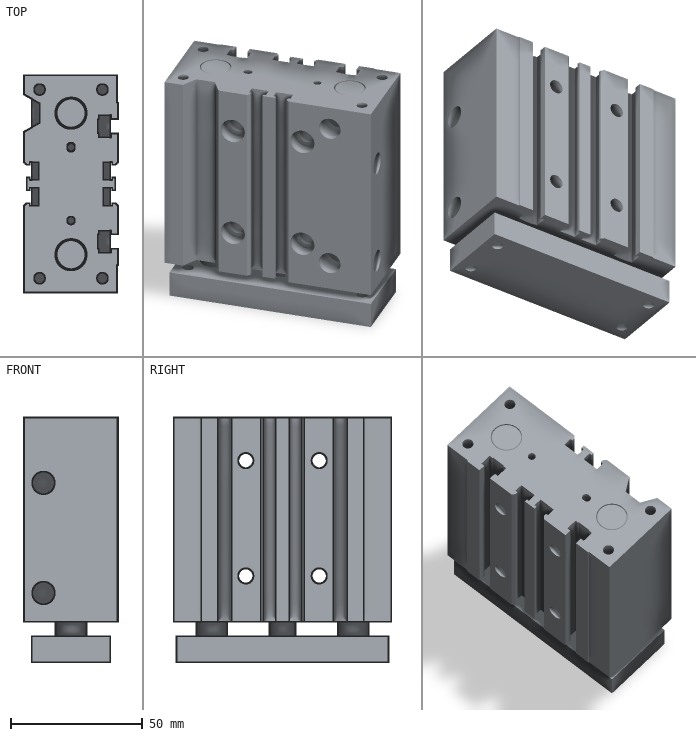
import cadquery as cq
import math


housing_width = 36.0
housing_length = 83.0
housing_height = 78.0
pad_length = 62.0
pad_step = 0.4
half_width = housing_width / 2

plate_width = 30.0
plate_length = 81.0
plate_thickness = 10.0
plate_gap = 5.5
plate_hole_diameter = 4.2
plate_hole_spacing_x = 18.0
plate_hole_spacing_y = 70.0

guide_rod_diameter = 12.0
guide_rod_offset = 27.0
guide_rod_chamfer = 0.5
piston_rod_diameter = 10.0
piston_rod_insertion = housing_height / 2

groove_floor_width = 7.4
groove_depth = 6.0
groove_side_angle = 30.0

sensor_slot_offset = 4.9
sensor_mouth_width = 4.8
sensor_slot_width = 6.8
sensor_lip_depth = 2.3
sensor_slot_depth = 5.7
recess_depth = 1.1
recess_mouth_length = 2 * sensor_slot_offset + sensor_slot_width
recess_floor_length = 2 * sensor_slot_offset + sensor_mouth_width

t_slot_offset = 22.0
t_slot_mouth_width = 5.4
t_slot_head_width = 8.4
t_slot_lip_depth = 2.8
t_slot_head_depth = 7.5
t_slot_relief_depth = 7.8

mount_hole_diameter = 5.7
mount_bore_diameter = 9.6
mount_bore_depth = 5.5
mount_hole_offset = 14.0
mount_hole_heights = (17.5, 61.5)

port_diameter = 8.6
port_depth = 10.0
side_port_y = -25.0
side_port_heights = (11.0, 69.0)
end_port_x = -10.5
end_port_heights = (11.0, 53.0)

corner_hole_diameter = 4.2
corner_hole_depth = 15.0
corner_hole_spacing_x = 24.0
corner_hole_spacing_y = 72.0
pin_hole_diameter = 3.0
pin_hole_depth = 6.0
pin_hole_offset = 14.0
pin_slot_length = 3.5
pin_slot_depth = 3.0


def channel(x_start, x_end, y_center, y_width):
    """Rectangular prism running the full height of the housing."""
    return cq.Workplane("XY").box(
        abs(x_end - x_start), y_width, housing_height, centered=(True, True, False)
    ).translate(((x_start + x_end) / 2, y_center, 0))


def tapered_channel(side, y_center, mouth_width, floor_width, depth):
    """Full-height channel in the side face (-1 or +1) that narrows from mouth to floor."""
    face_x = side * half_width
    floor_x = side * (half_width - depth)
    return (
        cq.Workplane("XY")
        .polyline([
            (face_x, y_center - mouth_width / 2),
            (face_x, y_center + mouth_width / 2),
            (floor_x, y_center + floor_width / 2),
            (floor_x, y_center - floor_width / 2),
        ])
        .close()
        .extrude(housing_height)
    )


def cylinder(diameter, length, start, direction):
    """Solid cylinder from a start point along a direction."""
    return cq.Workplane(
        cq.Solid.makeCylinder(diameter / 2, length, cq.Vector(*start), cq.Vector(*direction))
    )


def sensor_slot(side, y_center):
    """Lipped sensor slot in the side face (-1 or +1)."""
    lip_x = side * (half_width - sensor_lip_depth)
    floor_x = side * (half_width - sensor_slot_depth)
    mouth = channel(side * half_width, lip_x, y_center, sensor_mouth_width)
    return mouth.union(channel(lip_x, floor_x, y_center, sensor_slot_width))


def t_slot(y_center):
    """T-slot in the +X face with a relief in its floor."""
    lip_x = half_width - t_slot_lip_depth
    head_x = half_width - t_slot_head_depth
    relief_x = half_width - t_slot_relief_depth
    stem = channel(half_width, relief_x, y_center, t_slot_mouth_width)
    return stem.union(channel(lip_x, head_x, y_center, t_slot_head_width))


def make_housing():
    body_width = housing_width - pad_step
    body = channel(-half_width, body_width - half_width, 0, housing_length)
    body = body.union(channel(0, half_width, 0, pad_length))

    groove_spread = groove_depth * math.tan(math.radians(groove_side_angle))
    groove_mouth_width = groove_floor_width + 2 * groove_spread
    body = body.cut(tapered_channel(
        -1, guide_rod_offset, groove_mouth_width, groove_floor_width, groove_depth
    ))

    for side in (-1, 1):
        body = body.cut(tapered_channel(
            side, 0, recess_mouth_length, recess_floor_length, recess_depth
        ))
        for y in (-sensor_slot_offset, sensor_slot_offset):
            body = body.cut(sensor_slot(side, y))

    for y in (-t_slot_offset, t_slot_offset):
        body = body.cut(t_slot(y))

    for y in (-mount_hole_offset, mount_hole_offset):
        for z in mount_hole_heights:
            start = (-half_width, y, z)
            body = body.cut(cylinder(mount_hole_diameter, housing_width, start, (1, 0, 0)))
            body = body.cut(cylinder(mount_bore_diameter, mount_bore_depth, start, (1, 0, 0)))

    for z in side_port_heights:
        body = body.cut(cylinder(port_diameter, port_depth, (-half_width, side_port_y, z), (1, 0, 0)))
    for z in end_port_heights:
        start = (end_port_x, -housing_length / 2, z)
        body = body.cut(cylinder(port_diameter, port_depth, start, (0, 1, 0)))

    top = cq.Workplane("XY").workplane(offset=housing_height)
    corner_holes = (
        top.rarray(corner_hole_spacing_x, corner_hole_spacing_y, 2, 2)
        .circle(corner_hole_diameter / 2)
        .extrude(-corner_hole_depth)
    )
    pin_holes = (
        top.rarray(1, 2 * pin_hole_offset, 1, 2)
        .circle(pin_hole_diameter / 2)
        .extrude(-pin_hole_depth)
    )
    pin_slot = (
        top.center(0, pin_hole_offset)
        .slot2D(pin_slot_length, pin_hole_diameter, 90)
        .extrude(-pin_slot_depth)
    )
    body = body.cut(corner_holes).cut(pin_holes).cut(pin_slot)

    for y in (-guide_rod_offset, guide_rod_offset):
        body = body.cut(cylinder(guide_rod_diameter, housing_height, (0, y, 0), (0, 0, 1)))
    return body.cut(cylinder(piston_rod_diameter, piston_rod_insertion, (0, 0, 0), (0, 0, 1)))


def make_plate_and_rods():
    plate = (
        cq.Workplane("XY")
        .workplane(offset=-plate_gap)
        .rect(plate_width, plate_length)
        .extrude(-plate_thickness)
        .faces(">Z")
        .workplane()
        .rarray(plate_hole_spacing_x, plate_hole_spacing_y, 2, 2)
        .hole(plate_hole_diameter)
    )
    guide_rod_length = plate_gap + housing_height
    for y in (-guide_rod_offset, guide_rod_offset):
        guide_rod = cylinder(guide_rod_diameter, guide_rod_length, (0, y, -plate_gap), (0, 0, 1))
        plate = plate.union(guide_rod.faces(">Z").chamfer(guide_rod_chamfer))
    piston_rod_length = plate_gap + piston_rod_insertion
    return plate.union(cylinder(piston_rod_diameter, piston_rod_length, (0, 0, -plate_gap), (0, 0, 1)))


housing = make_housing()
plate_and_rods = make_plate_and_rods()

result = cq.Compound.makeCompound([housing.solids().val(), plate_and_rods.solids().val()])